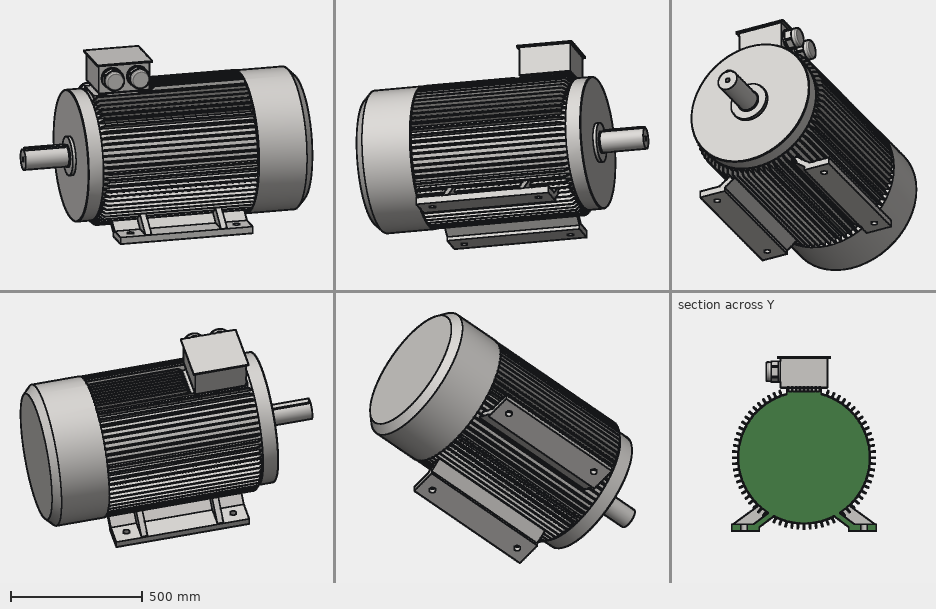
import cadquery as cq
import math


SHAFT_DIA = 80.0
SHAFT_LENGTH = 170.0
SHOULDER_DIA = 85.0
SHOULDER_LENGTH = 5.0
CENTRE_HOLE_DIA = 17.29
CENTRE_HOLE_DEPTH = 40.0
DRILL_POINT_ANGLE = 118.0
KEY_WIDTH = 22.0
KEY_LENGTH = 165.0
KEY_TOP = 45.0
KEY_SEAT_DEPTH = 14.0
CAP_DIA = 150.0
CAP_LENGTH = 13.0

CAP_FRONT = SHOULDER_LENGTH
SHIELD_FRONT = CAP_FRONT + CAP_LENGTH
SHIELD_LENGTH = 60.0
BODY_FRONT = SHIELD_FRONT + SHIELD_LENGTH
COVER_LENGTH = 218.0
TOTAL_LENGTH = 1075.0
REAR = TOTAL_LENGTH - SHAFT_LENGTH
COVER_FRONT = REAR - COVER_LENGTH

SHIELD_DIA = 505.0
SHIELD_CHAMFER = 2.5
BODY_DIA = 500.0
COVER_DIA = 547.0
COVER_CHAMFER = 30.0

FIN_TIP_DIA = 543.0
FIN_THICKNESS = 4.5
FIN_COUNT = 72
FIN_END_CHAMFER = 20.0
FIN_ROOT_OVERLAP = 5.0
FIN_ROOT_RADIUS = BODY_DIA / 2 - FIN_ROOT_OVERLAP
TOP_FREE_ANGLE = 17.5

PAD_WIDTH = 132.0
PAD_TOP = 252.5
PAD_FRONT = 91.0
PAD_FIN_PITCH = 15.0
PAD_FINS_PER_SIDE = 4
PAD_FIN_TOP = 269.0
PAD_FIN_FRONT = 311.0

BOX_WIDTH = 180.0
BOX_LENGTH = 200.0
BOX_CENTRE_Y = 204.0
BOX_BOTTOM = 264.0
BOX_BOTTOM_CHAMFER = 4.0
NECK_LENGTH = 130.0
LID_WIDTH = 200.0
LID_LENGTH = 216.0
LID_THICKNESS = 5.0
LID_TOP = 384.0

GLAND_PITCH = 100.0
GLAND_Z = 327.0
GLAND_COLLAR_DIA = 80.0
GLAND_COLLAR_LENGTH = 7.5
GLAND_HEX_FLATS = 72.0
GLAND_HEX_LENGTH = 26.5
GLAND_NOSE_DIA = 74.0
GLAND_NOSE_LENGTH = 20.0
GLAND_NOSE_FILLET = 6.0

AXIS_HEIGHT = 280.0
FEET_WIDTH = 550.0
FOOT_LENGTH = 522.0
FOOT_FRONT = 138.5
FOOT_PLATE_WIDTH = 105.0
FOOT_PLATE_THICKNESS = 27.0
FOOT_TOP_WIDTH = 83.0
FOOT_INNER_HEIGHT = 15.0
WEB_SLOPE = 0.75
WEB_INNER_X = 110.0
RIB_SLOPE = 0.73
RIB_THICKNESS = 24.0
RIB_PITCH = 298.0
RIB_EDGE_MARGIN = 5.0
FOOT_HOLE_DIA = 24.0
FOOT_HOLE_GAUGE = 457.0
FOOT_HOLE_PITCH = 419.0


def cylinder_y(diameter, y_start, y_end):
    """Solid cylinder on the shaft axis between two Y stations."""
    circle = cq.Workplane("XZ", origin=(0, y_start, 0)).circle(diameter / 2)
    return circle.extrude(-(y_end - y_start))


def block(x_range, y_range, z_range):
    """Axis-aligned box given by its limits."""
    sizes = [high - low for low, high in (x_range, y_range, z_range)]
    corner = (x_range[0], y_range[0], z_range[0])
    return cq.Workplane("XY").box(*sizes, centered=False).translate(corner)


def make_housing():
    shield = cylinder_y(SHIELD_DIA, SHIELD_FRONT, BODY_FRONT).faces("<Y").chamfer(SHIELD_CHAMFER)
    body = cylinder_y(BODY_DIA, BODY_FRONT, COVER_FRONT)
    cover = cylinder_y(COVER_DIA, COVER_FRONT, REAR).faces(">Y").chamfer(COVER_CHAMFER)
    return shield.union(body).union(cover)


def fin(root_z, tip_z, front_y):
    """Upright fin on the YZ plane with its front top corner cut at 45 degrees."""
    profile = [
        (front_y, root_z),
        (front_y, tip_z - FIN_END_CHAMFER),
        (front_y + FIN_END_CHAMFER, tip_z),
        (COVER_FRONT, tip_z),
        (COVER_FRONT, root_z),
    ]
    return cq.Workplane("YZ").polyline(profile).close().extrude(FIN_THICKNESS / 2, both=True)


def make_radial_fins():
    radial_fin = fin(FIN_ROOT_RADIUS, FIN_TIP_DIA / 2, BODY_FRONT)
    step = 360.0 / FIN_COUNT
    fins = []
    for index in range(FIN_COUNT):
        angle = index * step
        if min(angle, 360.0 - angle) > TOP_FREE_ANGLE:
            fins.append(radial_fin.rotate((0, 0, 0), (0, 1, 0), angle).val())
    return cq.Workplane(cq.Compound.makeCompound(fins))


def make_pad():
    half_width = PAD_WIDTH / 2
    pad = block((-half_width, half_width), (PAD_FRONT, COVER_FRONT), (0, PAD_TOP))
    pad_fin = fin(FIN_ROOT_RADIUS, PAD_FIN_TOP, PAD_FIN_FRONT)
    for index in range(-PAD_FINS_PER_SIDE, PAD_FINS_PER_SIDE + 1):
        pad = pad.union(pad_fin.translate((index * PAD_FIN_PITCH, 0, 0)))
    return pad


def make_terminal_box():
    centre = cq.Workplane("XY", origin=(0, BOX_CENTRE_Y, PAD_TOP))
    neck = centre.rect(PAD_WIDTH, NECK_LENGTH).extrude(BOX_BOTTOM - PAD_TOP)
    box_height = LID_TOP - LID_THICKNESS - BOX_BOTTOM
    box = cq.Workplane("XY", origin=(0, BOX_CENTRE_Y, BOX_BOTTOM)).rect(BOX_WIDTH, BOX_LENGTH)
    box = box.extrude(box_height).faces("<Z").chamfer(BOX_BOTTOM_CHAMFER)
    lid = cq.Workplane("XY", origin=(0, BOX_CENTRE_Y, LID_TOP)).rect(LID_WIDTH, LID_LENGTH)
    return neck.union(box).union(lid.extrude(-LID_THICKNESS))


def make_gland(y_centre):
    """Cable gland pointing toward +X: round collar, hexagon with rounded corners, round nose."""
    wall = cq.Workplane("YZ", origin=(BOX_WIDTH / 2, y_centre, GLAND_Z))
    hex_end = GLAND_COLLAR_LENGTH + GLAND_HEX_LENGTH
    collar = wall.circle(GLAND_COLLAR_DIA / 2).extrude(GLAND_COLLAR_LENGTH)
    corner_dia = GLAND_HEX_FLATS / math.cos(math.pi / 6)
    hexagon = wall.transformed(rotate=(0, 0, 90)).polygon(6, corner_dia).extrude(hex_end)
    hexagon = hexagon.intersect(wall.circle(GLAND_COLLAR_DIA / 2).extrude(hex_end))
    nose = wall.workplane(offset=hex_end).circle(GLAND_NOSE_DIA / 2).extrude(GLAND_NOSE_LENGTH)
    nose = nose.faces(">X").fillet(GLAND_NOSE_FILLET)
    return collar.union(hexagon).union(nose)


def make_foot():
    """Foot on the +X side: base plate, sloping web up to the body, two ribs, two holes."""
    bottom = -AXIS_HEIGHT
    plate_top = bottom + FOOT_PLATE_THICKNESS
    inner_bottom = bottom + FOOT_INNER_HEIGHT
    outer_x = FEET_WIDTH / 2
    inner_x = outer_x - FOOT_PLATE_WIDTH
    web_x = outer_x - FOOT_TOP_WIDTH
    web_top = plate_top + (web_x - WEB_INNER_X) * WEB_SLOPE
    section = [
        (outer_x, bottom),
        (outer_x, plate_top),
        (web_x, plate_top),
        (WEB_INNER_X, web_top),
        (WEB_INNER_X, inner_bottom + (inner_x - WEB_INNER_X) * WEB_SLOPE),
        (inner_x, inner_bottom),
        (inner_x, bottom),
    ]
    foot = cq.Workplane("XZ", origin=(0, FOOT_FRONT, 0)).polyline(section).close()
    foot = foot.extrude(-FOOT_LENGTH)

    rib_x = outer_x - RIB_EDGE_MARGIN
    rib_section = [
        (rib_x, plate_top),
        (WEB_INNER_X, plate_top + (rib_x - WEB_INNER_X) * RIB_SLOPE),
        (WEB_INNER_X, web_top),
        (web_x, plate_top),
    ]
    middle_y = FOOT_FRONT + FOOT_LENGTH / 2
    for side in (-1, 1):
        rib_y = middle_y + side * RIB_PITCH / 2
        rib = cq.Workplane("XZ", origin=(0, rib_y, 0)).polyline(rib_section).close()
        foot = foot.union(rib.extrude(RIB_THICKNESS / 2, both=True))
    for side in (-1, 1):
        hole_y = middle_y + side * FOOT_HOLE_PITCH / 2
        hole = cq.Workplane("XY", origin=(FOOT_HOLE_GAUGE / 2, hole_y, bottom))
        foot = foot.cut(hole.circle(FOOT_HOLE_DIA / 2).extrude(FOOT_PLATE_THICKNESS))
    return foot


def make_shaft():
    shaft = cylinder_y(SHAFT_DIA, -SHAFT_LENGTH, 0)
    shaft = shaft.union(cylinder_y(SHOULDER_DIA, 0, CAP_FRONT))
    shaft = shaft.union(cylinder_y(CAP_DIA, CAP_FRONT, SHIELD_FRONT))
    key = cq.Workplane("XY", origin=(0, -SHAFT_LENGTH / 2, KEY_TOP))
    key = key.slot2D(KEY_LENGTH, KEY_WIDTH, 90).extrude(-KEY_SEAT_DEPTH)
    hole = cylinder_y(CENTRE_HOLE_DIA, -SHAFT_LENGTH, CENTRE_HOLE_DEPTH - SHAFT_LENGTH)
    hole_radius = CENTRE_HOLE_DIA / 2
    point_length = hole_radius / math.tan(math.radians(DRILL_POINT_ANGLE / 2))
    hole_bottom = cq.Vector(0, CENTRE_HOLE_DEPTH - SHAFT_LENGTH, 0)
    point = cq.Solid.makeCone(hole_radius, 0, point_length, hole_bottom, cq.Vector(0, 1, 0))
    return shaft.union(key).cut(hole).cut(cq.Workplane(point))


foot = make_foot()
result = make_housing().union(make_radial_fins()).union(make_pad())
result = result.union(foot).union(foot.mirror("YZ"))
result = result.union(make_terminal_box())
for side in (-1, 1):
    result = result.union(make_gland(BOX_CENTRE_Y + side * GLAND_PITCH / 2))
result = result.union(make_shaft())